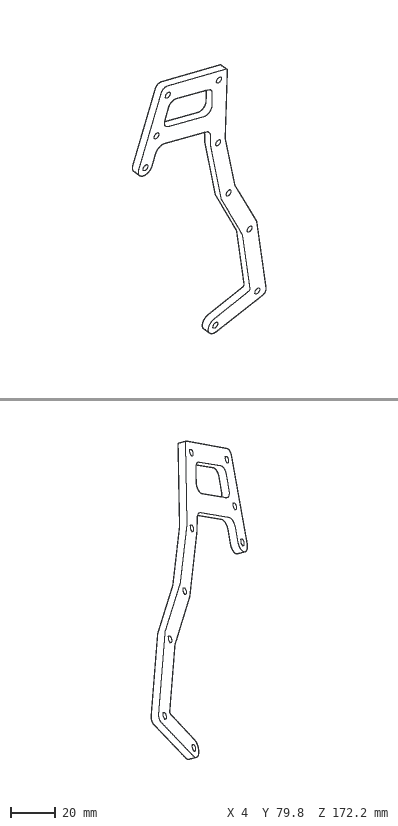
import cadquery as cq
import math

thickness = 4.0
hole_diameter = 3.1
tab_radius = 4.5

head_front_radius = 3.1
head_back_radius = 1.4
inner_head_radius = 4.5
foot_heel_radius = 2.8
foot_inner_radius = 1.0
window_radius = 3.8

head_tab = (-35.1, 44.2)
foot_tab = (8.5, -81.5)

head_back = (16.0, 72.7)
head_front = (-24.3, 87.1)
head_tab_inside = (-27.4, 53.0)
neck_front = (5.3, 41.0)

arm_back_bends = [(14.6, 30.3), (20.7, -2.5), (34.3, -33.7)]
arm_front_bends = [(5.5, 31.3), (12.0, -5.5), (25.3, -36.3)]
foot_heel = (40.5, -81.6)
foot_inside = (30.1, -73.7)

window_corners = [
    (6.5, 66.3),
    (-19.5, 76.0),
    (-24.3, 61.8),
    (6.2, 50.6),
]

hole_centres = [
    (-21.2, 80.2),
    (10.7, 69.0),
    (-28.2, 59.5),
    head_tab,
    (10.2, 30.5),
    (16.7, -4.8),
    (29.8, -35.6),
    (34.6, -77.1),
    foot_tab,
]


def tab_tip(centre, opposite):
    """Point of a tab end that faces directly away from the opposite corner."""
    ratio = tab_radius / math.dist(centre, opposite)
    return tuple(c + ratio * (c - o) for c, o in zip(centre, opposite))


def round_corner(body, corner, radius):
    """Fillet the edge through the plate at one profile corner."""
    edge = cq.selectors.NearestToPointSelector((0, *corner))
    return body.edges("|X").edges(edge).fillet(radius)


def tangent_point(centre, outside, side):
    """Where a line from an outside point touches a tab end; side is +1 or -1."""
    reach = math.dist(centre, outside)
    direction = math.atan2(outside[1] - centre[1], outside[0] - centre[0])
    angle = direction + side * math.acos(tab_radius / reach)
    return (centre[0] + tab_radius * math.cos(angle), centre[1] + tab_radius * math.sin(angle))


def make_plate():
    head_tip = tab_tip(head_tab, head_front)
    foot_tip = tab_tip(foot_tab, foot_heel)
    outline = (
        cq.Workplane("YZ")
        .moveTo(*head_back)
        .lineTo(*head_front)
        .lineTo(*tangent_point(head_tab, head_front, 1))
        .threePointArc(head_tip, tangent_point(head_tab, head_tab_inside, -1))
        .lineTo(*head_tab_inside)
        .lineTo(*neck_front)
    )
    for bend in arm_front_bends:
        outline = outline.lineTo(*bend)
    outline = (
        outline.lineTo(*foot_inside)
        .lineTo(*tangent_point(foot_tab, foot_inside, 1))
        .threePointArc(foot_tip, tangent_point(foot_tab, foot_heel, -1))
        .lineTo(*foot_heel)
    )
    for bend in reversed(arm_back_bends):
        outline = outline.lineTo(*bend)
    plate = outline.close().extrude(thickness / 2, both=True)

    rounded_corners = [
        (head_front, head_front_radius),
        (head_back, head_back_radius),
        (head_tab_inside, inner_head_radius),
        (neck_front, inner_head_radius),
        (foot_heel, foot_heel_radius),
        (foot_inside, foot_inner_radius),
    ]
    for corner, radius in rounded_corners:
        plate = round_corner(plate, corner, radius)
    return plate


def make_window():
    return (
        cq.Workplane("YZ")
        .polyline(window_corners)
        .close()
        .extrude(thickness / 2, both=True)
        .edges("|X")
        .fillet(window_radius)
    )


def make_holes():
    return (
        cq.Workplane("YZ")
        .pushPoints(hole_centres)
        .circle(hole_diameter / 2)
        .extrude(thickness / 2, both=True)
    )


result = make_plate().cut(make_window()).cut(make_holes())